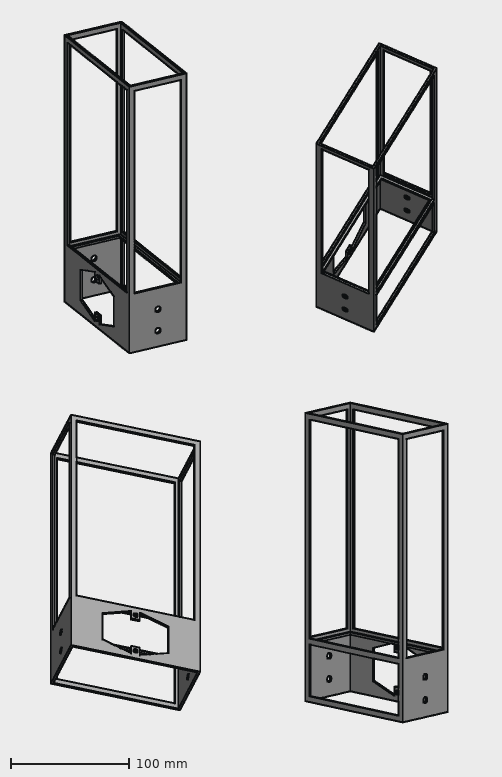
import cadquery as cq

WIDTH = 115.0
DEPTH = 55.0
HEIGHT = 250.0

FRAME = 5.0
BASE_HEIGHT = 55.0
WALL = 2.0

LEDGE_TOP = 52.0
LEDGE_THICKNESS = 2.0
LEDGE_WIDTH = 2.5

BACK_BORDER = 5.0

SOCKET_Z = 27.5
SOCKET_WIDTH = 58.8
SOCKET_SIDE_HEIGHT = 28.5
SOCKET_PEAK_HEIGHT = 48.7

TAB_WIDTH = 7.6
TAB_GAP = 30.0
SCREW_SPACING = 39.0
SCREW_DIAMETER = 4.0

SIDE_HOLE_DIAMETER = 5.2
SIDE_HOLE_HEIGHTS = (15.0, 35.0)

FRONT_Y = -DEPTH / 2


def block(x_size, y_size, z_bottom, z_top):
    """Box centred on X and Y between two heights."""
    return cq.Workplane("XY").workplane(offset=z_bottom).rect(x_size, y_size).extrude(z_top - z_bottom)


def shell():
    """Thin-walled rectangular tube, open at the top and bottom."""
    cavity = block(WIDTH - 2 * WALL, DEPTH - 2 * WALL, 0, HEIGHT)
    return block(WIDTH, DEPTH, 0, HEIGHT).cut(cavity)


def ledge():
    """Flat ring running round the inside of the walls."""
    bottom = LEDGE_TOP - LEDGE_THICKNESS
    border = WALL + LEDGE_WIDTH
    hole = block(WIDTH - 2 * border, DEPTH - 2 * border, bottom, LEDGE_TOP)
    return block(WIDTH - WALL, DEPTH - WALL, bottom, LEDGE_TOP).cut(hole)


def windows():
    """Cutters for the four windows, each running through two opposite walls."""
    top = HEIGHT - FRAME
    front_to_back = block(WIDTH - 2 * FRAME, DEPTH, BASE_HEIGHT, top)
    side_to_side = block(WIDTH, DEPTH - 2 * FRAME, BASE_HEIGHT, top)
    return front_to_back.union(side_to_side)


def back_opening():
    """Cutter for the opening in the back of the base, reaching up to the ledge."""
    opening = block(WIDTH - 2 * BACK_BORDER, WALL, BACK_BORDER, LEDGE_TOP - LEDGE_THICKNESS)
    return opening.translate((0, (DEPTH - WALL) / 2, 0))


def front_plane():
    """Work plane on the front face, centred on the socket opening."""
    return cq.Workplane("XZ", origin=(0, FRONT_Y, SOCKET_Z))


def socket_opening():
    """Cutter for the six-sided opening through the front wall."""
    side_x = SOCKET_WIDTH / 2
    side_z = SOCKET_SIDE_HEIGHT / 2
    peak_z = SOCKET_PEAK_HEIGHT / 2
    outline = [
        (-side_x, -side_z),
        (0, -peak_z),
        (side_x, -side_z),
        (side_x, side_z),
        (0, peak_z),
        (-side_x, side_z),
    ]
    return front_plane().polyline(outline).close().extrude(-WALL)


def screw_tabs():
    """Two tabs reaching into the socket opening from its peaks."""
    tab_height = (SOCKET_PEAK_HEIGHT - TAB_GAP) / 2
    tab_offset = (TAB_GAP + tab_height) / 2
    tabs = front_plane().pushPoints([(0, -tab_offset), (0, tab_offset)])
    return tabs.rect(TAB_WIDTH, tab_height).extrude(-WALL)


def screw_holes():
    """Cutters for the screw holes in the two tabs."""
    holes = front_plane().pushPoints([(0, -SCREW_SPACING / 2), (0, SCREW_SPACING / 2)])
    return holes.circle(SCREW_DIAMETER / 2).extrude(-WALL)


def side_holes():
    """Cutters for the holes running through both side walls."""
    centres = [(0, z) for z in SIDE_HOLE_HEIGHTS]
    holes = cq.Workplane("YZ").pushPoints(centres)
    return holes.circle(SIDE_HOLE_DIAMETER / 2).extrude(WIDTH / 2, both=True)


result = shell().union(ledge()).cut(windows()).cut(back_opening()).cut(socket_opening())
result = result.union(screw_tabs()).cut(screw_holes()).cut(side_holes())